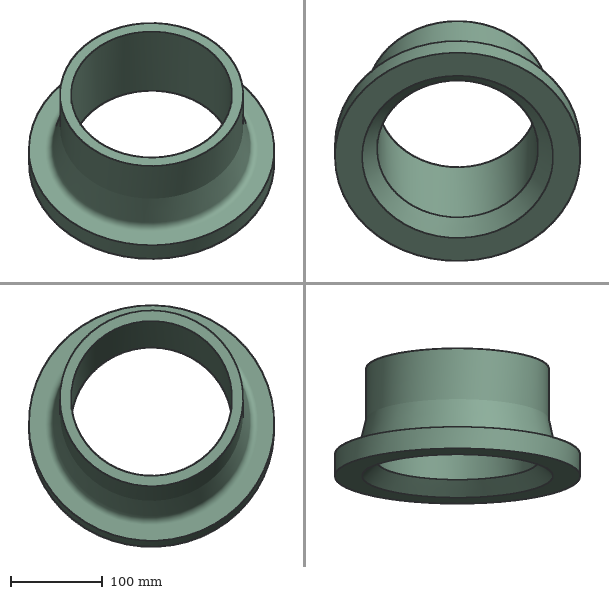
import cadquery as cq
import math

flange_diameter = 268.0
flange_thickness = 24.0
total_height = 120.0
pipe_diameter = 200.0
bore_diameter = 175.8
bore_chamfer = 16.3
cone_top_height = 63.0
fillet_top_height = 30.5
cone_base_diameter = 215.5

flange_radius = flange_diameter / 2
pipe_radius = pipe_diameter / 2
bore_radius = bore_diameter / 2
cone_base_radius = cone_base_diameter / 2

cone_rise = cone_top_height - fillet_top_height
cone_lean = math.atan2(cone_base_radius - pipe_radius, cone_rise)
fillet_radius = (fillet_top_height - flange_thickness) / (1 - math.sin(cone_lean))
fillet_center_radius = cone_base_radius + fillet_radius * math.cos(cone_lean)
fillet_center_height = flange_thickness + fillet_radius
mid_angle = (math.pi / 2 + cone_lean) / 2
fillet_middle = (
    fillet_center_radius - fillet_radius * math.cos(mid_angle),
    fillet_center_height - fillet_radius * math.sin(mid_angle),
)

profile = (
    cq.Workplane("XZ")
    .moveTo(bore_radius, bore_chamfer)
    .lineTo(bore_radius + bore_chamfer, 0)
    .lineTo(flange_radius, 0)
    .lineTo(flange_radius, flange_thickness)
    .lineTo(fillet_center_radius, flange_thickness)
    .threePointArc(fillet_middle, (cone_base_radius, fillet_top_height))
    .lineTo(pipe_radius, cone_top_height)
    .lineTo(pipe_radius, total_height)
    .lineTo(bore_radius, total_height)
    .close()
)

result = profile.revolve(360, (0, 0, 0), (0, 1, 0))